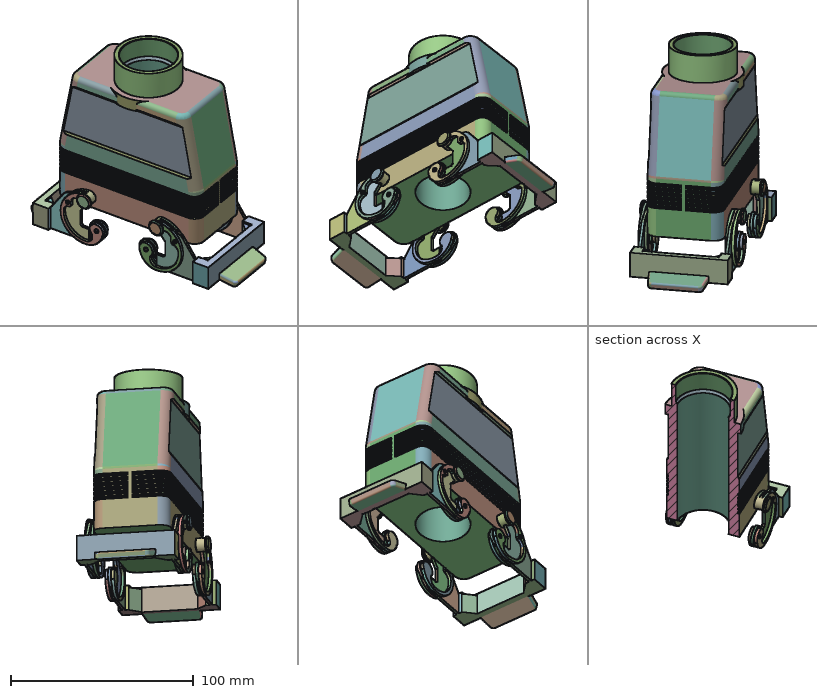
import cadquery as cq
import math

hood_bottom = 23.2
hood_top = 104.3
kink_height = 57.5
base_half_length = 46.9
top_half_length = 38.2
hood_half_width = 21.5
corner_radius = 6.1
kink_radius = 6.8
rim_radius = 2.7

panel_depth = 0.8
panel_low = 64.9
panel_high = 98.3
panel_slope_height = 1.4

groove_count = 6
groove_pitch = 2.6
groove_flank = 0.48
groove_floor = 0.7
groove_depth = 0.8
top_groove_height = 53.4
grip_web = 2.6

flange_radius = 22.5
flange_bottom = 97.2
collar_top = 120.1
collar_radius = 18.8
socket_radius = 16.1
socket_floor = 108.5
bore_radius = 15.1
cone_height = 1.8
mouth_chamfer = 0.3

lever_inner_face = 22.0
lever_outer_face = 27.1
plate_inner_face = 23.7
plate_outer_face = 25.3
hook_x = 23.9
hook_z = 18.1
hook_outer_radius = 16.1
hook_inner_radius = 14.0
roll_x = 16.4
roll_z = 13.0
roll_radius = 4.4
roll_flange_radius = 5.5
roll_dimple_radius = 1.2
rivet_x = 35.5
rivet_z = 25.0
rivet_dimple_radius = 1.1
dimple_depth = 0.5

pivot_x = 23.9
pivot_z = 30.4
pivot_stem_radius = 2.7
pivot_eye_radius = 3.8
pivot_embed = 1.4
button_radius = 4.6
button_inner_face = 27.7
button_outer_face = 29.0
button_chamfer = 0.8

yoke_bottom = 2.6
yoke_top = 16.6
yoke_outer_x = 57.9
yoke_bar_x = 53.7
yoke_arm_x = 47.5
yoke_half_width = 27.5
yoke_half_opening = 21.5
gusset_half_opening = 15.7
gusset_drop = 1.1
tab_tip_x = 68.1
tab_angle = 16.0
tab_thickness = 4.0
tab_root_half_width = 16.9
tab_tip_half_width = 15.3
tab_corner_radius = 2.5
tab_edge_radius = 1.0


def prism(outline, low_y, high_y):
    """Extrude an outline drawn in the XZ plane between two Y positions."""
    return outline.extrude(low_y - high_y).translate((0, low_y, 0))


def cylinder_y(x, z, radius, low_y, high_y):
    return prism(cq.Workplane("XZ").center(x, z).circle(radius), low_y, high_y)


def make_hood():
    outline = cq.Workplane("XZ").polyline([
        (-base_half_length, hood_bottom),
        (base_half_length, hood_bottom),
        (base_half_length, kink_height),
        (top_half_length, hood_top),
        (-top_half_length, hood_top),
        (-base_half_length, kink_height),
    ]).close()
    hood = prism(outline, -hood_half_width, hood_half_width)
    margin = 1.4
    reach_x = base_half_length + margin
    reach_y = hood_half_width + margin
    kink_zone = cq.selectors.BoxSelector(
        (-reach_x, -reach_y, kink_height - margin),
        (reach_x, reach_y, kink_height + margin))
    hood = hood.edges("|Y").edges(kink_zone).fillet(kink_radius)
    hood = hood.edges("not(|X or |Y)").fillet(corner_radius)
    return hood.faces(">Z").edges().fillet(rim_radius)


def panel_cutter(side):
    face = side * hood_half_width
    floor = side * (hood_half_width - panel_depth)
    return (
        cq.Workplane("YZ")
        .polyline([
            (face, panel_low),
            (floor, panel_low + panel_slope_height),
            (floor, panel_high - panel_slope_height),
            (face, panel_high),
        ])
        .close()
        .extrude(base_half_length, both=True)
    )


def hood_plan(inset):
    """Rounded rectangle of the hood base, pulled in by an inset."""
    return (
        cq.Sketch()
        .rect(2 * (base_half_length - inset), 2 * (hood_half_width - inset))
        .vertices()
        .fillet(corner_radius - inset)
    )


def groove_cutter(middle):
    """Ring with a trapezoid section, left out at the middle of each end face."""
    mouth = groove_floor + 2 * groove_flank
    low = middle - mouth / 2
    stock_size = 3 * base_half_length
    stock = cq.Workplane("XY").workplane(offset=low).rect(stock_size, stock_size).extrude(mouth)
    flank_angle = math.degrees(math.atan(groove_depth / groove_flank))
    lower_cone = (
        cq.Workplane("XY")
        .workplane(offset=low)
        .placeSketch(hood_plan(0))
        .extrude(groove_flank, taper=flank_angle)
    )
    upper_cone = lower_cone.mirror("XY", (0, 0, middle))
    core = (
        cq.Workplane("XY")
        .workplane(offset=low)
        .placeSketch(hood_plan(groove_depth))
        .extrude(mouth)
    )
    web = cq.Workplane("XY").box(stock_size, grip_web, mouth).translate((0, 0, middle))
    return stock.cut(lower_cone).cut(upper_cone).cut(core).cut(web)


def make_flange_and_collar():
    flange = (
        cq.Workplane("XY")
        .workplane(offset=flange_bottom)
        .circle(flange_radius)
        .extrude(hood_top - flange_bottom)
    )
    collar = (
        cq.Workplane("XY")
        .workplane(offset=hood_top)
        .circle(collar_radius)
        .extrude(collar_top - hood_top)
    )
    return flange.union(collar)


def cable_passage():
    """Socket with a chamfered mouth, stepping down a cone to the through bore."""
    mouth_radius = socket_radius + mouth_chamfer
    return (
        cq.Workplane("XZ")
        .polyline([
            (0, hood_bottom),
            (bore_radius, hood_bottom),
            (bore_radius, socket_floor - cone_height),
            (socket_radius, socket_floor),
            (socket_radius, collar_top - mouth_chamfer),
            (mouth_radius, collar_top),
            (0, collar_top),
        ])
        .close()
        .revolve(360, (0, 0, 0), (0, 1, 0))
    )


def make_plate():
    """Middle lever plate reaching from the yoke up to the pivot."""
    foot_x = 22.4
    foot_top = 11.2
    throat_x = 28.0
    throat_corner = 1.1
    throat_top = 21.4
    throat_slant = 1.4
    shoulder = (39.4, 28.1)
    outline = (
        cq.Workplane("XZ")
        .moveTo(yoke_arm_x, yoke_bottom)
        .lineTo(yoke_arm_x, yoke_top)
        .lineTo(*shoulder)
        .threePointArc((37.6, 29.6), (34.0, 30.7))
        .lineTo(pivot_x, pivot_z + pivot_eye_radius)
        .lineTo(pivot_x, pivot_z - pivot_eye_radius)
        .lineTo(throat_x - throat_corner, throat_top + throat_slant)
        .lineTo(throat_x, throat_top)
        .lineTo(throat_x, foot_top + throat_corner)
        .lineTo(throat_x - throat_corner, foot_top)
        .lineTo(foot_x, foot_top)
        .lineTo(foot_x, yoke_bottom)
        .close()
    )
    plate = prism(outline, plate_inner_face, plate_outer_face)
    eye = cylinder_y(pivot_x, pivot_z, pivot_eye_radius, plate_inner_face, plate_outer_face)
    return plate.union(eye)


def hook_point(radius, angle):
    """Point on a circle about the hook centre, angle in degrees from +X."""
    turn = math.radians(angle)
    return (hook_x + radius * math.cos(turn), hook_z + radius * math.sin(turn))


def make_cheek(low_y, high_y):
    """One hook cheek lying on the plate, curling from the pivot round to the roll."""
    outline = (
        cq.Workplane("XZ")
        .moveTo(pivot_x, hook_z + hook_outer_radius)
        .threePointArc(hook_point(hook_outer_radius, 0), hook_point(hook_outer_radius, -90))
        .threePointArc((17.3, 3.8), (12.5, 10.8))
        .lineTo(roll_x, roll_z)
        .lineTo(19.4, 9.7)
        .threePointArc((19.2, 7.1), (22.5, hook_z - hook_inner_radius))
        .threePointArc(hook_point(hook_inner_radius, -40), hook_point(hook_inner_radius, 5))
        .threePointArc((36.7, 21.7), (34.0, 22.8))
        .lineTo(33.1, 23.6)
        .lineTo(33.0, 25.9)
        .threePointArc((31.8, 28.9), (28.6, 29.7))
        .lineTo(pivot_x, pivot_z - pivot_eye_radius)
        .close()
    )
    roll = cylinder_y(roll_x, roll_z, roll_radius, low_y, high_y)
    eye = cylinder_y(pivot_x, pivot_z, pivot_eye_radius, low_y, high_y)
    return prism(outline, low_y, high_y).union(roll).union(eye)


def make_hook():
    """Two cheeks that hold the flange of the roll between them."""
    roll_flange = cylinder_y(
        roll_x, roll_z, roll_flange_radius, plate_inner_face, plate_outer_face)
    hook = (
        roll_flange
        .union(make_cheek(lever_inner_face, plate_inner_face))
        .union(make_cheek(plate_outer_face, lever_outer_face))
    )
    dimple_floor = lever_outer_face - dimple_depth
    for x, z, radius in (
        (rivet_x, rivet_z, rivet_dimple_radius),
        (roll_x, roll_z, roll_dimple_radius),
    ):
        hook = hook.cut(cylinder_y(x, z, radius, dimple_floor, lever_outer_face))
    return hook


def make_pivot():
    stem_start = hood_half_width - pivot_embed
    stem = cylinder_y(pivot_x, pivot_z, pivot_stem_radius, stem_start, button_outer_face)
    button = cylinder_y(
        pivot_x, pivot_z, button_radius, button_inner_face, button_outer_face)
    return stem.union(button.faces(">Y").chamfer(button_chamfer))


def make_yoke():
    """Bar and two arms joining both plates of a lever pair, with corner gussets."""
    plan = (
        cq.Workplane("XY")
        .workplane(offset=yoke_bottom)
        .polyline([
            (yoke_outer_x, -yoke_half_width),
            (yoke_outer_x, yoke_half_width),
            (yoke_arm_x, yoke_half_width),
            (yoke_arm_x, yoke_half_opening),
            (yoke_bar_x, yoke_half_opening),
            (yoke_bar_x, -yoke_half_opening),
            (yoke_arm_x, -yoke_half_opening),
            (yoke_arm_x, -yoke_half_width),
        ])
        .close()
    )
    yoke = plan.extrude(yoke_top - yoke_bottom)
    gusset = (
        cq.Workplane("XY")
        .workplane(offset=yoke_bottom)
        .polyline([
            (yoke_bar_x, gusset_half_opening),
            (yoke_bar_x, yoke_half_opening),
            (yoke_arm_x, yoke_half_opening),
        ])
        .close()
        .extrude(yoke_top - gusset_drop - yoke_bottom)
    )
    return yoke.union(gusset).union(gusset.mirror("XZ"))


def make_tab():
    """Tapered thumb tab sloping down and outwards from the yoke bar."""
    slope = math.radians(tab_angle)
    root_overlap = 2.0
    reach = tab_tip_x - yoke_outer_x
    flat_length = (reach - tab_edge_radius * (1 - math.sin(slope))) / math.cos(slope)
    length = flat_length + tab_edge_radius
    flat_thickness = tab_thickness - tab_edge_radius
    root_top = (
        tab_edge_radius + flat_length * math.sin(slope) + flat_thickness * math.cos(slope))
    tab = (
        cq.Workplane("XY")
        .polyline([
            (-root_overlap, -tab_root_half_width),
            (0, -tab_root_half_width),
            (length, -tab_tip_half_width),
            (length, tab_tip_half_width),
            (0, tab_root_half_width),
            (-root_overlap, tab_root_half_width),
        ])
        .close()
        .extrude(-tab_thickness)
        .edges("|Z and >X")
        .fillet(tab_corner_radius)
    )
    tab = tab.faces(">Z or <Z").edges("not(<X)").fillet(tab_edge_radius)
    tab = tab.rotate((0, 0, 0), (0, 1, 0), tab_angle)
    return tab.translate((yoke_outer_x, 0, root_top))


hood = make_hood()
for side in (1, -1):
    hood = hood.cut(panel_cutter(side))
for index in range(groove_count):
    hood = hood.cut(groove_cutter(top_groove_height - index * groove_pitch))
hood = hood.union(make_flange_and_collar()).cut(cable_passage())

lever = make_plate().union(make_hook()).union(make_pivot())
lever_pair = lever.union(lever.mirror("XZ")).union(make_yoke()).union(make_tab())

result = hood.union(lever_pair).union(lever_pair.mirror("YZ"))